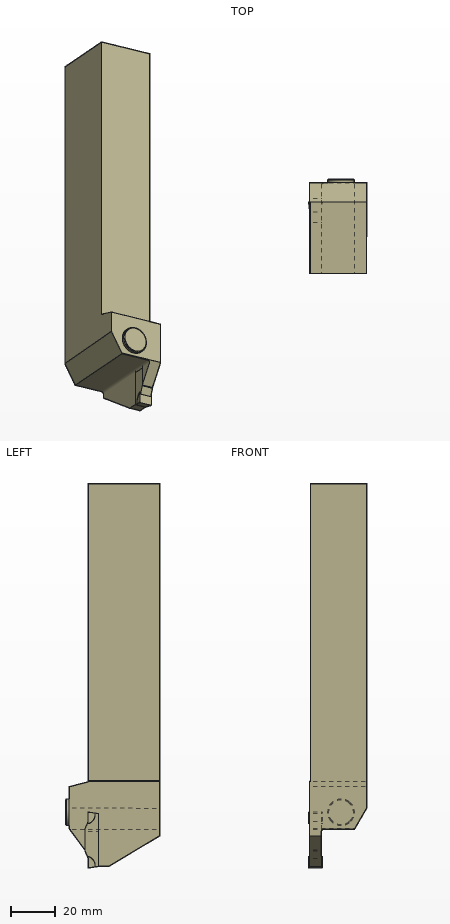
import cadquery as cq

import math

TOTAL_HEIGHT = 171.35

SHANK_WIDTH = 25.0
SHANK_DEPTH = 32.0

HEAD_DEPTH = 40.5
HEAD_SIDE_OFFSET = 0.5
RIGHT_FACE_TAPER = 0.18
STEP_Z = 38.5
HEAD_BACK_TOP_Z = 36.3
HEAD_BACK_BOTTOM_Z = 17.6
HEAD_FRONT_BOTTOM_Z = 14.4
BLADE_BOTTOM_Z = 0.8
BLADE_BOTTOM_FRONT_Y = 22.7
SEAT_EXIT_Z = 6.0
SHOULDER_Z = 17.3
SHOULDER_X = 19.6
SHOULDER_CHAMFER_Z = 26.9
BLADE_THICKNESS = 5.4
BLADE_FILLET = 1.0

SCREW_DIAMETER = 11.86
SCREW_HEIGHT = 1.6
SCREW_CHAMFER = 0.4
SCREW_X = 13.6
SCREW_Z = 24.9

INSERT_LENGTH = 25.0
INSERT_FRONT_Y = 27.5
INSERT_EDGE_Y = 32.0
INSERT_RIDGE_Y = 33.5
RIDGE_LENGTH = 9.6
RAKE_LENGTH = 4.2
TIP_OVERHANG = 0.38
TIP_FRONT_OVERHANG = 0.05
TIP_LENGTH = 5.2
TIP_DEPTH = 3.0
TIP_CORNER_RADIUS = 0.4
END_RELIEF = 0.7

HEAD_LEFT_X = -HEAD_SIDE_OFFSET
BLADE_RIGHT_X = HEAD_LEFT_X + BLADE_THICKNESS
INSERT_MIDDLE_Z = INSERT_LENGTH / 2
HEAD_RIGHT_X = SHANK_WIDTH + RIGHT_FACE_TAPER


def side_prism(points, start_x, end_x):
    """Extrude a (Y, Z) outline along X."""
    outline = cq.Workplane("YZ").workplane(offset=start_x).polyline(points).close()
    return outline.extrude(end_x - start_x)


def make_holder_blank():
    side = side_prism(
        [
            (0, HEAD_FRONT_BOTTOM_Z),
            (BLADE_BOTTOM_FRONT_Y, BLADE_BOTTOM_Z),
            (INSERT_EDGE_Y, BLADE_BOTTOM_Z),
            (INSERT_EDGE_Y, SEAT_EXIT_Z),
            (HEAD_DEPTH, HEAD_BACK_BOTTOM_Z),
            (HEAD_DEPTH, HEAD_BACK_TOP_Z),
            (SHANK_DEPTH, STEP_Z),
            (SHANK_DEPTH, TOTAL_HEIGHT),
            (0, TOTAL_HEIGHT),
        ],
        HEAD_LEFT_X,
        HEAD_RIGHT_X,
    )
    front = (
        cq.Workplane("XZ")
        .moveTo(HEAD_LEFT_X, 0)
        .lineTo(BLADE_RIGHT_X, 0)
        .lineTo(BLADE_RIGHT_X, SHOULDER_Z - BLADE_FILLET)
        .radiusArc((BLADE_RIGHT_X + BLADE_FILLET, SHOULDER_Z), BLADE_FILLET)
        .lineTo(SHOULDER_X, SHOULDER_Z)
        .lineTo(HEAD_RIGHT_X, SHOULDER_CHAMFER_Z)
        .lineTo(HEAD_RIGHT_X, TOTAL_HEIGHT)
        .lineTo(0, TOTAL_HEIGHT)
        .lineTo(0, STEP_Z + HEAD_SIDE_OFFSET)
        .lineTo(HEAD_LEFT_X, STEP_Z)
        .close()
        .extrude(-HEAD_DEPTH)
    )
    plan = (
        cq.Workplane("XY")
        .polyline(
            [
                (HEAD_LEFT_X, 0),
                (SHANK_WIDTH, 0),
                (HEAD_RIGHT_X, HEAD_DEPTH),
                (HEAD_LEFT_X, HEAD_DEPTH),
            ]
        )
        .close()
        .extrude(TOTAL_HEIGHT)
    )
    return side.intersect(front).intersect(plan)


def make_screw_head():
    center = cq.Vector(SCREW_X, HEAD_DEPTH, SCREW_Z)
    disc = cq.Solid.makeCylinder(SCREW_DIAMETER / 2, SCREW_HEIGHT, center, cq.Vector(0, 1, 0))
    return cq.Workplane(disc).faces(">Y").chamfer(SCREW_CHAMFER)


def make_insert_core():
    ridge_start = INSERT_MIDDLE_Z - RIDGE_LENGTH / 2
    return side_prism(
        [
            (INSERT_FRONT_Y, END_RELIEF),
            (INSERT_EDGE_Y, 0),
            (INSERT_EDGE_Y, RAKE_LENGTH),
            (INSERT_RIDGE_Y, ridge_start),
            (INSERT_RIDGE_Y, INSERT_LENGTH - ridge_start),
            (INSERT_EDGE_Y, INSERT_LENGTH - RAKE_LENGTH),
            (INSERT_EDGE_Y, INSERT_LENGTH),
            (INSERT_FRONT_Y, INSERT_LENGTH - END_RELIEF),
        ],
        HEAD_LEFT_X,
        BLADE_RIGHT_X,
    )


def make_tip():
    """Wide cutting tip at the lower end of the insert, narrowing toward the front from its edge."""
    front_y = INSERT_EDGE_Y - TIP_DEPTH
    front_z = END_RELIEF * TIP_DEPTH / (INSERT_EDGE_Y - INSERT_FRONT_Y)
    left_x = HEAD_LEFT_X - TIP_OVERHANG
    right_x = BLADE_RIGHT_X + TIP_OVERHANG
    bulge = math.sin(math.pi / 4)

    side = (
        cq.Workplane("YZ")
        .workplane(offset=left_x)
        .moveTo(INSERT_EDGE_Y, 0)
        .lineTo(INSERT_EDGE_Y, TIP_LENGTH)
        .threePointArc(
            (INSERT_EDGE_Y - TIP_DEPTH * bulge, front_z + (TIP_LENGTH - front_z) * bulge),
            (front_y, front_z),
        )
        .close()
        .extrude(right_x - left_x)
    )
    plan = (
        cq.Workplane("XY")
        .polyline(
            [
                (left_x, INSERT_EDGE_Y),
                (HEAD_LEFT_X - TIP_FRONT_OVERHANG, front_y),
                (BLADE_RIGHT_X + TIP_FRONT_OVERHANG, front_y),
                (right_x, INSERT_EDGE_Y),
            ]
        )
        .close()
        .extrude(TIP_LENGTH)
    )
    face = (
        cq.Workplane("XZ", origin=(0, INSERT_EDGE_Y, 0))
        .moveTo(left_x + TIP_CORNER_RADIUS, 0)
        .lineTo(right_x - TIP_CORNER_RADIUS, 0)
        .radiusArc((right_x, TIP_CORNER_RADIUS), -TIP_CORNER_RADIUS)
        .lineTo(right_x, TIP_LENGTH)
        .lineTo(left_x, TIP_LENGTH)
        .lineTo(left_x, TIP_CORNER_RADIUS)
        .radiusArc((left_x + TIP_CORNER_RADIUS, 0), -TIP_CORNER_RADIUS)
        .close()
        .extrude(TIP_DEPTH)
    )
    return side.intersect(plan).intersect(face)


lower_tip = make_tip()
upper_tip = lower_tip.mirror("XY", (0, 0, INSERT_MIDDLE_Z))
insert = make_insert_core().union(lower_tip).union(upper_tip)
holder = make_holder_blank().union(make_screw_head()).cut(insert)

result = cq.Compound.makeCompound([*holder.solids().vals(), *insert.solids().vals()])